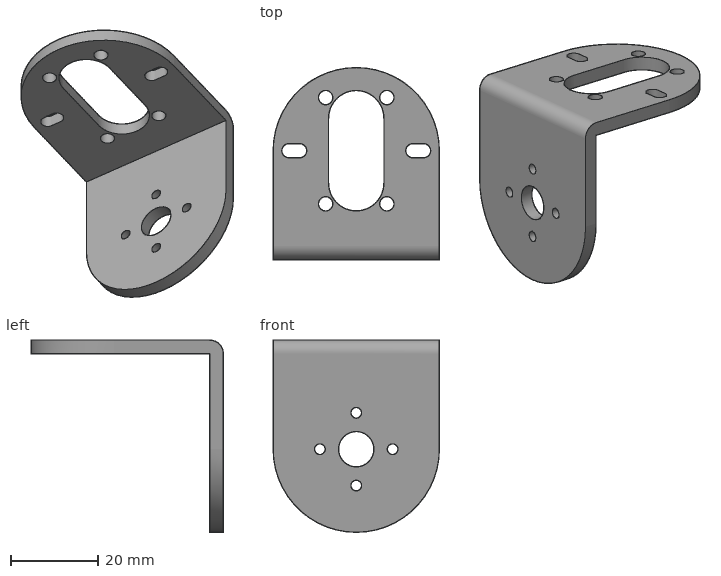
import cadquery as cq

leg_length = 44.05
width = 38.1
thickness = 3.15
bend_radius = thickness

shaft_hole_diameter = 8.0
screw_hole_diameter = 2.4
screw_circle_radius = 8.32
screw_count = 4

window_length = 27.5
window_width = 12.6
side_slot_length = 5.65
side_slot_width = 3.15
side_slot_offset = 14.2
corner_hole_diameter = 3.2
corner_spacing_x = 14.0
corner_spacing_y = 24.3

end_radius = width / 2
straight_length = leg_length - end_radius


def round_ended_leg():
    """Flat leg running along +Y from the bend, with a semicircular end."""
    return (
        cq.Workplane("XY")
        .moveTo(-end_radius, 0)
        .lineTo(end_radius, 0)
        .lineTo(end_radius, straight_length)
        .threePointArc((0, leg_length), (-end_radius, straight_length))
        .close()
        .extrude(thickness)
    )


def leg_cutter_plane():
    """Workplane under the leg, centred on its rounded end."""
    return cq.Workplane("XY").center(0, straight_length)


def make_horizontal_leg():
    window = leg_cutter_plane().slot2D(window_length, window_width, 90).extrude(thickness)
    side_slots = (
        leg_cutter_plane()
        .pushPoints([(-side_slot_offset, 0), (side_slot_offset, 0)])
        .slot2D(side_slot_length, side_slot_width)
        .extrude(thickness)
    )
    corner_holes = (
        leg_cutter_plane()
        .rarray(corner_spacing_x, corner_spacing_y, 2, 2)
        .circle(corner_hole_diameter / 2)
        .extrude(thickness)
    )
    return round_ended_leg().cut(window).cut(side_slots).cut(corner_holes)


def make_vertical_leg():
    shaft_hole = leg_cutter_plane().circle(shaft_hole_diameter / 2).extrude(thickness)
    screw_holes = (
        leg_cutter_plane()
        .polarArray(screw_circle_radius, 0, 360, screw_count)
        .circle(screw_hole_diameter / 2)
        .extrude(thickness)
    )
    flat_leg = round_ended_leg().cut(shaft_hole).cut(screw_holes)
    return flat_leg.rotate((0, 0, 0), (1, 0, 0), -90).translate((0, 0, thickness))


bracket = make_horizontal_leg().union(make_vertical_leg())
result = bracket.edges("|X").edges("<Y and >Z").fillet(bend_radius)